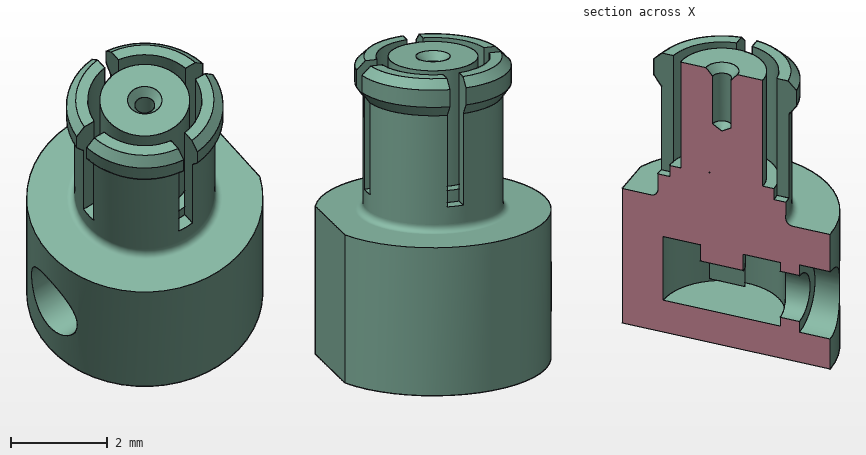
import cadquery as cq

base_radius = 2.45
base_height = 3.25
flat_y = 2.25

total_height = 6.6
neck_radius = 1.45
foot_fillet = 0.15
collar_radius = 1.625
collar_top_radius = 1.43
collar_start_z = 5.795
collar_lower_z = 6.04
collar_upper_z = 6.415
bore_radius = 1.18
bore_floor_z = 4.05
slot_width = 0.35
slot_floor_z = 3.79

core_radius = 0.93
socket_radius = 0.205
socket_mouth_radius = 0.355
socket_mouth_depth = 0.17
socket_depth = 1.32
socket_tip_depth = 0.12

port_z = 1.54
port_radius = 0.55
port_mouth_radius = 0.805
port_mouth_floor_y = -1.755

chamber_radius = 1.32
chamber_height = 1.52
contact_radius = 0.49
contact_end_z = 1.35
fork_width = 0.57
fork_depth = 0.555


def cylinder(radius, bottom_z, top_z):
    return cq.Workplane("XY").workplane(offset=bottom_z).circle(radius).extrude(top_z - bottom_z)


def make_outer_body():
    """Revolve the base, filleted neck and collar, then cut the flat."""
    foot_radius = neck_radius + foot_fillet
    fillet_top_z = base_height + foot_fillet
    body = (
        cq.Workplane("XZ")
        .lineTo(base_radius, 0)
        .lineTo(base_radius, base_height)
        .lineTo(foot_radius, base_height)
        .radiusArc((neck_radius, fillet_top_z), foot_fillet)
        .lineTo(neck_radius, collar_start_z)
        .lineTo(collar_radius, collar_lower_z)
        .lineTo(collar_radius, collar_upper_z)
        .lineTo(collar_top_radius, total_height)
        .lineTo(0, total_height)
        .close()
        .revolve(360, (0, 0), (0, 1))
    )
    flat_cut = cq.Workplane("XY").box(
        2 * base_radius, base_radius, base_height, centered=(True, False, False)
    )
    return body.cut(flat_cut.translate((0, flat_y, 0)))


def make_neck_slots():
    """Cross slots through the neck wall, stopping at the bore radius."""
    slot_height = total_height - slot_floor_z
    slots = cq.Workplane("XY")
    for angle in (0, 90):
        slot = cq.Workplane("XY").box(
            2 * base_radius, slot_width, slot_height, centered=(True, True, False)
        )
        slots = slots.add(slot.rotate((0, 0, 0), (0, 0, 1), angle))
    slots = slots.combine().translate((0, 0, slot_floor_z))
    return slots.cut(cylinder(bore_radius, slot_floor_z, total_height))


def make_bore():
    """Annular gap between the neck wall and the core."""
    bore = cylinder(bore_radius, bore_floor_z, total_height)
    return bore.cut(cylinder(core_radius, bore_floor_z, total_height))


def make_socket():
    """Blind hole in the core with a conical mouth and a conical tip."""
    return (
        cq.Workplane("XZ")
        .moveTo(0, total_height)
        .lineTo(socket_mouth_radius, total_height)
        .lineTo(socket_radius, total_height - socket_mouth_depth)
        .lineTo(socket_radius, total_height - socket_depth)
        .lineTo(0, total_height - socket_depth - socket_tip_depth)
        .close()
        .revolve(360, (0, 0), (0, 1))
    )


def make_port():
    """Stepped hole from the -Y side into the chamber."""
    port = cq.Workplane("XZ").center(0, port_z).circle(port_radius).extrude(base_radius)
    mouth = (
        cq.Workplane("XZ", origin=(0, port_mouth_floor_y, port_z))
        .circle(port_mouth_radius)
        .extrude(base_radius + port_mouth_floor_y)
    )
    return port.union(mouth)


def make_contact(chamber_top_z):
    """Round contact hanging from the chamber roof, with a forked lower end."""
    contact = cylinder(contact_radius, contact_end_z, chamber_top_z)
    fork_gap = cq.Workplane("XY").box(
        fork_width, 2 * contact_radius, fork_depth, centered=(True, True, False)
    )
    return contact.cut(fork_gap.translate((0, 0, contact_end_z)))


chamber_floor_z = port_z - chamber_height / 2
chamber_top_z = port_z + chamber_height / 2

result = make_outer_body()
result = result.cut(make_neck_slots())
result = result.cut(make_bore())
result = result.cut(make_socket())
result = result.cut(make_port())
result = result.cut(cylinder(chamber_radius, chamber_floor_z, chamber_top_z))
result = result.union(make_contact(chamber_top_z))